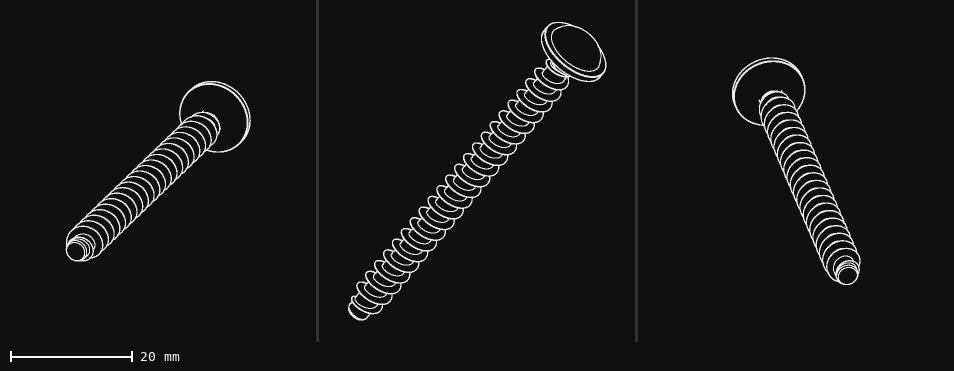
import cadquery as cq
import math


flange_diameter = 12.0
flange_thickness = 1.25
flange_chamfer = 0.1
head_height = 3.6
dome_base_diameter = 9.5
dome_top_diameter = 4.6
dome_bulge = 0.5

shank_length = 65.0
neck_diameter = 4.0
neck_length = 2.9
neck_fillet_radius = 0.75
core_diameter = 3.6
tip_diameter = 3.2
tip_length = 0.4

thread_diameter = 6.0
thread_pitch = 2.69
thread_crest_width = 0.1
thread_flank_width = 0.85
thread_embedment = 0.15
thread_start = 2.47
lead_in_turns = 1.5
full_turns = 20.35
run_out_turns = 1.15
lead_in_diameter = 4.5

flange_radius = flange_diameter / 2
neck_radius = neck_diameter / 2
core_radius = core_diameter / 2
thread_radius = thread_diameter / 2


def make_body():
    """Head, neck, core and tip as one turned profile."""
    dome_base = (dome_base_diameter / 2, flange_thickness)
    dome_top = (dome_top_diameter / 2, head_height)
    chord_x = dome_top[0] - dome_base[0]
    chord_y = dome_top[1] - dome_base[1]
    chord = math.hypot(chord_x, chord_y)
    dome_middle = (
        (dome_base[0] + dome_top[0]) / 2 + dome_bulge * chord_y / chord,
        (dome_base[1] + dome_top[1]) / 2 - dome_bulge * chord_x / chord,
    )
    fillet_inset = neck_fillet_radius * (1 - math.cos(math.pi / 4))
    fillet_middle = (neck_radius + fillet_inset, -fillet_inset)
    profile = (
        cq.Workplane("XY")
        .moveTo(0, -shank_length)
        .lineTo(tip_diameter / 2, -shank_length)
        .lineTo(core_radius, tip_length - shank_length)
        .lineTo(core_radius, -neck_length)
        .lineTo(neck_radius, -neck_length)
        .lineTo(neck_radius, -neck_fillet_radius)
        .threePointArc(fillet_middle, (neck_radius + neck_fillet_radius, 0))
        .lineTo(flange_radius - flange_chamfer, 0)
        .lineTo(flange_radius, flange_chamfer)
        .lineTo(flange_radius, flange_thickness - flange_chamfer)
        .lineTo(flange_radius - flange_chamfer, flange_thickness)
        .lineTo(*dome_base)
        .threePointArc(dome_middle, dome_top)
        .lineTo(0, head_height)
        .close()
    )
    return profile.revolve(360, (0, 0), (0, 1))


def thread_section(crest_radius):
    """Corners (radius, distance along the axis) of the thread ridge."""
    full_height = thread_radius - core_radius
    flank_slope = (thread_flank_width - thread_crest_width) / 2 / full_height
    ridge_height = full_height + thread_embedment
    crest_half = thread_crest_width / 2
    root_half = crest_half + flank_slope * ridge_height
    root_radius = crest_radius - ridge_height
    return [
        (root_radius, -root_half),
        (crest_radius, -crest_half),
        (crest_radius, crest_half),
        (root_radius, root_half),
    ]


def make_helix(radius, position, turns, growth):
    """Helix about Z, starting at +X, whose radius grows evenly by the given amount."""
    center = cq.Vector(0, 0, position)
    axis = cq.Vector(0, 0, 1)
    height = turns * thread_pitch
    if growth == 0:
        return cq.Wire.makeHelix(thread_pitch, height, radius, center, axis)
    cone_angle = math.atan2(growth, height)
    slant = 1 / math.cos(cone_angle)
    return cq.Wire.makeHelix(
        thread_pitch * slant, height * slant, radius, center, axis, angle=math.degrees(cone_angle)
    )


def make_thread_stretch(first_turn, turns, first_radius, last_radius):
    """Solid helical ridge whose crest radius changes evenly from first to last."""
    growth = last_radius - first_radius
    helices = []
    for radius, position in thread_section(first_radius):
        helices.append(make_helix(radius, position, turns, growth))
    faces = []
    for index, helix in enumerate(helices):
        faces.append(cq.Face.makeRuledSurface(helices[index - 1], helix))
    for end in (0, 1):
        corners = [helix.Edges()[0].positionAt(end) for helix in helices]
        faces.append(cq.Face.makeFromWires(cq.Wire.makePolygon(corners, close=True)))
    ridge = cq.Solid.makeSolid(cq.Shell.makeShell(faces))
    ridge = ridge.rotate(cq.Vector(), cq.Vector(0, 0, 1), 360 * first_turn)
    return ridge.translate(cq.Vector(0, 0, first_turn * thread_pitch))


def make_thread():
    """Right-hand thread fading in below the neck and fading out at the tip."""
    stretches = [
        (lead_in_turns, lead_in_diameter / 2, thread_radius),
        (full_turns, thread_radius, thread_radius),
        (run_out_turns, thread_radius, core_radius),
    ]
    first_turn = 0
    thread = cq.Workplane("XY")
    for turns, first_radius, last_radius in stretches:
        thread = thread.add(make_thread_stretch(first_turn, turns, first_radius, last_radius))
        first_turn += turns
    thread = thread.rotate((0, 0, 0), (0, 0, 1), 180).rotate((0, 0, 0), (1, 0, 0), 90)
    return thread.translate((0, -thread_start, 0))


def make_screw():
    """Body with the thread trimmed flush with the end of the neck."""
    trim = cq.Workplane("XZ").circle(flange_radius).extrude(neck_length)
    screw = make_body()
    for stretch in make_thread().vals():
        screw = screw.union(cq.Workplane(stretch).cut(trim))
    return screw


result = make_screw()